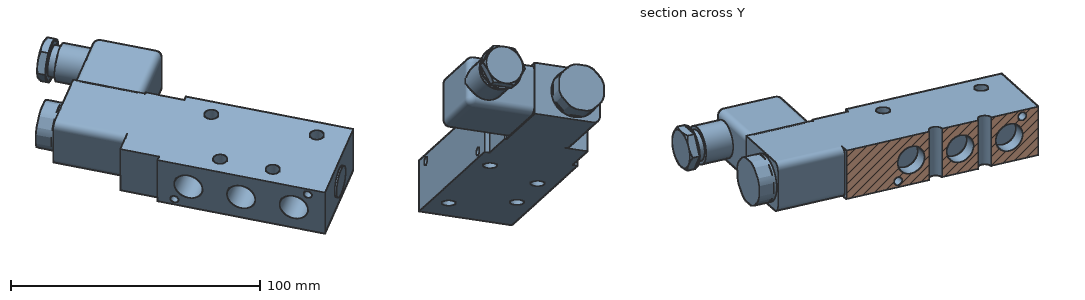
import cadquery as cq
import math


OVERALL_LENGTH = 136.0
HEIGHT = 22.0
STUB_LENGTH = 0.8
STUB_DIAMETER = 13.0
BLOCK_START_X = 65.1
BLOCK_END_X = OVERALL_LENGTH - STUB_LENGTH
BLOCK_WIDTH = 40.3
AXIS_Y = BLOCK_WIDTH / 2
AXIS_Z = HEIGHT / 2

ADAPTER_START_X = 49.0
ADAPTER_INSET = 2.2

PORT_DIAMETER = 11.8
PORT_DEPTH = 13.6
PORT_PITCH = 22.0
MIDDLE_PORT_X = 100.1

CROSS_HOLE_DIAMETER = 3.4
CROSS_HOLE_OFFSET_X = 27.9
CROSS_HOLE_OFFSET_Z = 8.2

MOUNT_HOLE_DIAMETER = 5.7
FRONT_HOLE_PITCH = PORT_PITCH
REAR_HOLE_PITCH = 2 * PORT_PITCH
FRONT_HOLE_Y = 7.6
REAR_HOLE_Y = 32.6

COIL_START_X = 18.9
COIL_FRONT_Y = 9.0
COIL_REAR_Y = 37.3
EDGE_RADIUS = 3.0

NUT_START_X = 11.2
NUT_DIAMETER = 20.0
NUT_ACROSS_FLATS = 19.5
NUT_FLAT_LENGTH = 6.5
NUT_FLAT_COUNT = 8

PLUG_START_X = 19.5
PLUG_END_X = 48.4
PLUG_REAR_Y = 65.8
PLUG_HEIGHT = 21.2

GLAND_DIAMETER = 15.9
GLAND_START_X = 7.3
GLAND_AXIS_Y = 58.0
NECK_DIAMETER = 13.0
HEX_SIDES = 6
HEX_LENGTH = 4.1
HEX_ACROSS_FLATS = 15.8
HEX_CHAMFER_ANGLE = 30.0
WASHER_DIAMETER = 17.7
WASHER_THICKNESS = 0.34


def box(start, end):
    """Box between two opposite corners."""
    size = [b - a for a, b in zip(start, end)]
    return cq.Workplane("XY").box(*size, centered=False).translate(start)


def rod(start_x, end_x, diameter, y):
    """Cylinder along X at the mid height of the part."""
    plane = cq.Workplane("YZ", origin=(start_x, y, AXIS_Z))
    return plane.circle(diameter / 2).extrude(end_x - start_x)


def make_coil():
    """Coil housing with its two front edges rounded."""
    coil = box((COIL_START_X, COIL_FRONT_Y, 0), (ADAPTER_START_X, COIL_REAR_Y, HEIGHT))
    return coil.faces("<Y").edges("|X").fillet(EDGE_RADIUS)


def make_coil_nut():
    """Round nut whose outer end carries evenly spaced flats."""
    nut = rod(NUT_START_X, COIL_START_X, NUT_DIAMETER, AXIS_Y)
    nut_radius = NUT_DIAMETER / 2
    cutter = box(
        (NUT_START_X, AXIS_Y - nut_radius, AXIS_Z + NUT_ACROSS_FLATS / 2),
        (NUT_START_X + NUT_FLAT_LENGTH, AXIS_Y + nut_radius, AXIS_Z + NUT_DIAMETER),
    )
    for index in range(NUT_FLAT_COUNT):
        angle = index * 360 / NUT_FLAT_COUNT
        nut = nut.cut(cutter.rotate((0, AXIS_Y, AXIS_Z), (1, AXIS_Y, AXIS_Z), angle))
    return nut


def make_ports():
    """Blind ports in the -Y face."""
    points = [(MIDDLE_PORT_X + step * PORT_PITCH, AXIS_Z) for step in (-1, 0, 1)]
    return cq.Workplane("XZ").pushPoints(points).circle(PORT_DIAMETER / 2).extrude(-PORT_DEPTH)


def make_cross_holes():
    """Two small through holes at diagonally opposite corners of the port face."""
    points = [
        (MIDDLE_PORT_X + side * CROSS_HOLE_OFFSET_X, AXIS_Z + side * CROSS_HOLE_OFFSET_Z)
        for side in (-1, 1)
    ]
    return cq.Workplane("XZ").pushPoints(points).circle(CROSS_HOLE_DIAMETER / 2).extrude(-BLOCK_WIDTH)


def make_mounting_holes():
    """Front and rear pairs of vertical through holes."""
    points = []
    for pitch, y in ((FRONT_HOLE_PITCH, FRONT_HOLE_Y), (REAR_HOLE_PITCH, REAR_HOLE_Y)):
        points += [(MIDDLE_PORT_X + side * pitch / 2, y) for side in (-1, 1)]
    return cq.Workplane("XY").pushPoints(points).circle(MOUNT_HOLE_DIAMETER / 2).extrude(HEIGHT)


def make_valve():
    """Valve block, adapter, coil and coil nut as one body."""
    block = box((BLOCK_START_X, 0, 0), (BLOCK_END_X, BLOCK_WIDTH, HEIGHT))
    adapter = box(
        (ADAPTER_START_X, ADAPTER_INSET, 0),
        (BLOCK_START_X, BLOCK_WIDTH - ADAPTER_INSET, HEIGHT),
    )
    stub = rod(BLOCK_END_X, OVERALL_LENGTH, STUB_DIAMETER, AXIS_Y)
    valve = block.union(adapter).union(stub).union(make_coil()).union(make_coil_nut()).clean()
    return valve.cut(make_ports()).cut(make_cross_holes()).cut(make_mounting_holes())


def make_gland_hex():
    """Hexagon with corners along Y, its outer end chamfered down to the across-flats circle."""
    across_corners = HEX_ACROSS_FLATS / math.cos(math.pi / HEX_SIDES)
    plane = cq.Workplane("YZ", origin=(0, GLAND_AXIS_Y, AXIS_Z))
    prism = plane.polygon(HEX_SIDES, across_corners).extrude(HEX_LENGTH)
    inner_radius = HEX_ACROSS_FLATS / 2
    outer_radius = across_corners / 2
    chamfer_length = (outer_radius - inner_radius) * math.tan(math.radians(HEX_CHAMFER_ANGLE))
    envelope = (
        cq.Workplane("XY")
        .polyline([
            (0, 0),
            (0, inner_radius),
            (chamfer_length, outer_radius),
            (HEX_LENGTH, outer_radius),
            (HEX_LENGTH, 0),
        ])
        .close()
        .revolve(360, (0, 0, 0), (1, 0, 0))
        .translate((0, GLAND_AXIS_Y, AXIS_Z))
    )
    return prism.intersect(envelope)


def make_plug():
    """Plug housing with rounded outer edges and a cable gland on its -X side."""
    base_z = AXIS_Z - PLUG_HEIGHT / 2
    housing = box(
        (PLUG_START_X, COIL_REAR_Y, base_z),
        (PLUG_END_X, PLUG_REAR_Y, base_z + PLUG_HEIGHT),
    )
    housing = housing.edges("|Y or >Y").fillet(EDGE_RADIUS)
    barrel = rod(GLAND_START_X, PLUG_START_X + EDGE_RADIUS, GLAND_DIAMETER, GLAND_AXIS_Y)
    neck = rod(HEX_LENGTH, GLAND_START_X, NECK_DIAMETER, GLAND_AXIS_Y)
    washer = rod(HEX_LENGTH - WASHER_THICKNESS, HEX_LENGTH, WASHER_DIAMETER, GLAND_AXIS_Y)
    return housing.union(barrel).union(neck).union(make_gland_hex()).union(washer)


valve = make_valve()
plug = make_plug()
result = cq.Compound.makeCompound([valve.val(), plug.val()])